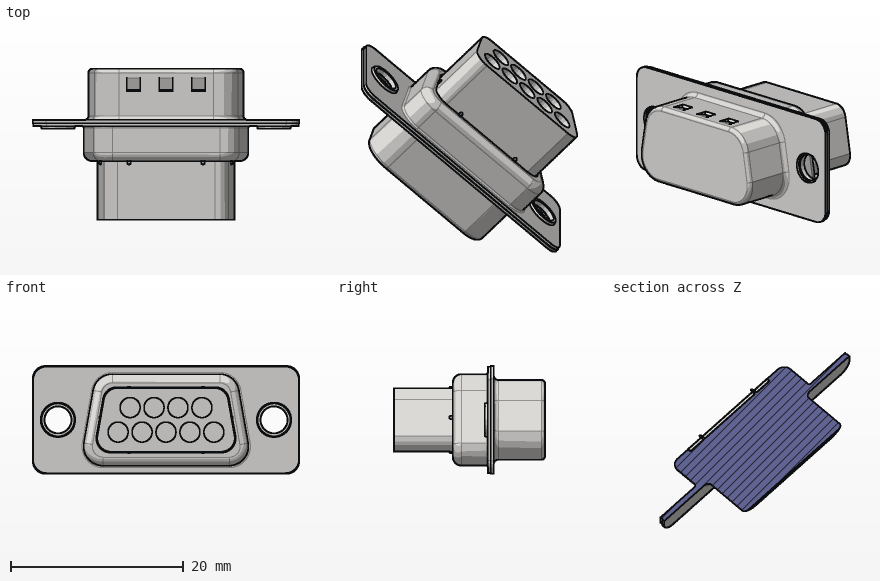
import cadquery as cq
import math


REAR_SHEET_X = 30.84
REAR_SHEET_Z = 12.5
REAR_SHEET_THICK = 0.35
FRONT_SHEET_X = REAR_SHEET_X - 0.1
FRONT_SHEET_Z = REAR_SHEET_Z - 0.2
FRONT_SHEET_THICK = 0.35
SHEET_CORNER_RADIUS = 1.5

SIDE_SLANT = 10.0
REAR_BODY = (4.63, 8.72, 2.88)
HOOD = (5.3, 9.04, 2.25)
PLUG = (3.68, 7.6, 1.55)

TOTAL_DEPTH = 17.5
REAR_BODY_DEPTH = 5.93
HOOD_DEPTH = 4.06
REAR_END = REAR_SHEET_THICK + REAR_BODY_DEPTH
FRONT_END = REAR_END - TOTAL_DEPTH
HOOD_FRONT = -FRONT_SHEET_THICK - HOOD_DEPTH

REAR_RIM_FILLET = 0.45
REAR_FLARE_FILLET = 0.5
HOOD_RIM_FILLET = 1.0
HOOD_FLARE_FILLET = 0.2
SELECTION_MARGIN = 0.02

GROOVE_WIDTH = 0.12
GROOVE_DEPTH = 0.4

MOUNT_X = 12.5
MOUNT_HOLE_DIAMETER = 3.1
REAR_HOLE_DIAMETER = 3.5
EYELET_BASE_DIAMETER = 4.0
EYELET_TIP_DIAMETER = 3.8
EYELET_HEIGHT = 0.33

CAVITY_DIAMETER = 2.32
CAVITY_DEPTH = 1.2
CAVITY_PITCH = 2.77
CAVITY_ROW_Z = 1.42
UPPER_ROW_COUNT = 4
LOWER_ROW_COUNT = 5

DIMPLE_COUNT = 3
DIMPLE_PITCH = 3.75
DIMPLE_WIDTH = 1.55
DIMPLE_REAR_SETBACK = 1.07
DIMPLE_RAMP_LENGTH = 1.35
DIMPLE_RETURN_LENGTH = 0.17
DIMPLE_DEPTH = 0.35

RIB_RADIUS = 0.2
RIB_PROTRUSION = 0.17
RIB_LENGTH_OUTSIDE = 0.4
RIB_X = 4.28
SIDE_RIB_Z = 0.28


def front_facing_plane(y, x=0, z=0):
    """Workplane with local axes X and Z whose positive extrusion runs towards -Y."""
    return cq.Workplane("XZ", origin=(x, y, z))


def rod_along_y(x, z, diameter, front_y, rear_y):
    return front_facing_plane(rear_y, x, z).circle(diameter / 2).extrude(rear_y - front_y)


def trapezoid_prism(half_height, mid_half_width, corner_radius, front_y, rear_y):
    """Prism along Y with a trapezoidal outline, wider at the bottom."""
    lean = half_height * math.tan(math.radians(SIDE_SLANT))
    top = mid_half_width - lean
    bottom = mid_half_width + lean
    outline = [(-bottom, -half_height), (bottom, -half_height), (top, half_height), (-top, half_height)]
    prism = front_facing_plane(rear_y).polyline(outline).close().extrude(rear_y - front_y)
    return prism.edges("|Y").fillet(corner_radius)


def flange_sheet(width, height, front_y, rear_y):
    sheet = front_facing_plane(rear_y).rect(width, height).extrude(rear_y - front_y)
    return sheet.edges("|Y").fillet(SHEET_CORNER_RADIUS)


def root_edges(body, y, half_height, mid_half_width):
    """Edges where a body of the given size meets the flange face at y."""
    reach_x = mid_half_width + half_height * math.tan(math.radians(SIDE_SLANT))
    reach_z = half_height + SELECTION_MARGIN
    box = cq.selectors.BoxSelector(
        (-reach_x, y - SELECTION_MARGIN, -reach_z),
        (reach_x, y + SELECTION_MARGIN, reach_z),
    )
    return body.edges(box)


def rear_shell():
    half_height, mid_half_width, _ = REAR_BODY
    body = trapezoid_prism(*REAR_BODY, 0, REAR_END).faces(">Y").edges().fillet(REAR_RIM_FILLET)
    shell = flange_sheet(REAR_SHEET_X, REAR_SHEET_Z, 0, REAR_SHEET_THICK).union(body)
    return root_edges(shell, REAR_SHEET_THICK, half_height, mid_half_width).fillet(REAR_FLARE_FILLET)


def front_shell():
    half_height, mid_half_width, _ = HOOD
    body = trapezoid_prism(*HOOD, HOOD_FRONT, 0).faces("<Y").edges().fillet(HOOD_RIM_FILLET)
    shell = flange_sheet(FRONT_SHEET_X, FRONT_SHEET_Z, -FRONT_SHEET_THICK, 0).union(body)
    shell = root_edges(shell, -FRONT_SHEET_THICK, half_height, mid_half_width).fillet(HOOD_FLARE_FILLET)
    groove_size = [size + GROOVE_WIDTH for size in PLUG]
    return shell.cut(trapezoid_prism(*groove_size, HOOD_FRONT, HOOD_FRONT + GROOVE_DEPTH))


def plug():
    return trapezoid_prism(*PLUG, FRONT_END, 0)


def eyelet(x):
    taper = math.degrees(math.atan2((EYELET_BASE_DIAMETER - EYELET_TIP_DIAMETER) / 2, EYELET_HEIGHT))
    base = front_facing_plane(-FRONT_SHEET_THICK, x).circle(EYELET_BASE_DIAMETER / 2)
    return base.extrude(EYELET_HEIGHT, taper=taper)


def mount_hole(x):
    """Eyelet bore through the front sheet, opening into a wider hole in the rear sheet."""
    eyelet_bore = rod_along_y(x, 0, MOUNT_HOLE_DIAMETER, -FRONT_SHEET_THICK - EYELET_HEIGHT, 0)
    return eyelet_bore.union(rod_along_y(x, 0, REAR_HOLE_DIAMETER, 0, REAR_SHEET_THICK))


def cavity_row(count, z):
    first_x = -CAVITY_PITCH * (count - 1) / 2
    centres = [(first_x + i * CAVITY_PITCH, z) for i in range(count)]
    plane = front_facing_plane(FRONT_END + CAVITY_DEPTH)
    return plane.pushPoints(centres).circle(CAVITY_DIAMETER / 2).extrude(CAVITY_DEPTH)


def dimple(x):
    """Wedge whose floor falls from the rear edge and returns steeply at the front edge."""
    top_z = REAR_BODY[0]
    rear_y = REAR_END - DIMPLE_REAR_SETBACK
    deepest_y = rear_y - DIMPLE_RAMP_LENGTH
    front_y = deepest_y - DIMPLE_RETURN_LENGTH
    profile = [(rear_y, top_z), (deepest_y, top_z - DIMPLE_DEPTH), (front_y, top_z)]
    return (
        cq.Workplane("YZ", origin=(x, 0, 0))
        .polyline(profile)
        .close()
        .extrude(DIMPLE_WIDTH / 2, both=True)
    )


def rib(x, z):
    """Rod along Y at the given X and Z that ends in a half ball in front of the hood."""
    ball_y = HOOD_FRONT - RIB_LENGTH_OUTSIDE + RIB_RADIUS
    rod = rod_along_y(x, z, 2 * RIB_RADIUS, ball_y, HOOD_FRONT + GROOVE_DEPTH)
    return rod.union(cq.Workplane("XY", origin=(x, ball_y, z)).sphere(RIB_RADIUS))


def rib_centres():
    half_height, mid_half_width, _ = PLUG
    inset = RIB_RADIUS - RIB_PROTRUSION
    level_z = half_height - inset
    slant = math.radians(SIDE_SLANT)
    side_x = mid_half_width - SIDE_RIB_Z * math.tan(slant) - inset / math.cos(slant)
    centres = [(side * RIB_X, end * level_z) for side in (-1, 1) for end in (-1, 1)]
    return centres + [(side * side_x, SIDE_RIB_Z) for side in (-1, 1)]


result = rear_shell().union(front_shell()).union(plug())
for rib_x, rib_z in rib_centres():
    result = result.union(rib(rib_x, rib_z))
for side in (-1, 1):
    result = result.union(eyelet(side * MOUNT_X)).cut(mount_hole(side * MOUNT_X))
result = result.cut(cavity_row(UPPER_ROW_COUNT, CAVITY_ROW_Z))
result = result.cut(cavity_row(LOWER_ROW_COUNT, -CAVITY_ROW_Z))
for index in range(DIMPLE_COUNT):
    result = result.cut(dimple((index - (DIMPLE_COUNT - 1) / 2) * DIMPLE_PITCH))